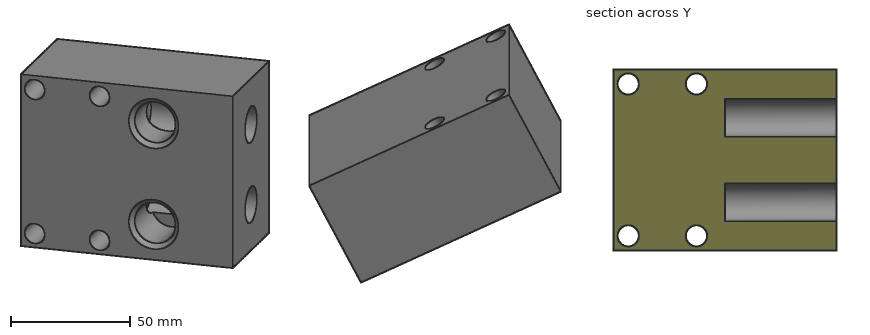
import cadquery as cq

length = 93.7
depth = 49.3
height = 76.2
mid_height = height / 2

mount_diameter = 8.8
mount_edge_distance = 6.2
mount_column_pitch = 28.7

port_diameter = 18.0
port_mouth_diameter = 21.9
port_mouth_depth = 2.0
port_x = 58.7
port_spacing = 44.6

bore_diameter = 15.7
bore_spacing = 35.5
bore_axis_y = depth / 2
bore_end_margin = 2.8
bore_end_x = port_x - port_diameter / 2 - bore_end_margin

INTO_BLOCK = cq.Vector(0, 1, 0)


def mounting_hole(x, z):
    """Cylinder through the whole depth of the block."""
    return cq.Solid.makeCylinder(mount_diameter / 2, depth, cq.Vector(x, 0, z), INTO_BLOCK)


def port(z):
    """Flat-bottomed hole with a conical mouth."""
    start = cq.Vector(port_x, 0, z)
    hole = cq.Solid.makeCylinder(port_diameter / 2, bore_axis_y, start, INTO_BLOCK)
    mouth = cq.Solid.makeCone(
        port_mouth_diameter / 2, port_diameter / 2, port_mouth_depth, start, INTO_BLOCK
    )
    return hole.fuse(mouth)


def cross_bore(z):
    """Bore from the +X end to just past the port."""
    start = cq.Vector(length, bore_axis_y, z)
    return cq.Solid.makeCylinder(bore_diameter / 2, length - bore_end_x, start, cq.Vector(-1, 0, 0))


result = cq.Workplane("XY").box(length, depth, height, centered=False)

for hole_x in (mount_edge_distance, mount_edge_distance + mount_column_pitch):
    for hole_z in (mount_edge_distance, height - mount_edge_distance):
        result = result.cut(cq.Workplane(mounting_hole(hole_x, hole_z)))

for side in (-1, 1):
    result = result.cut(cq.Workplane(port(mid_height + side * port_spacing / 2)))
    result = result.cut(cq.Workplane(cross_bore(mid_height + side * bore_spacing / 2)))